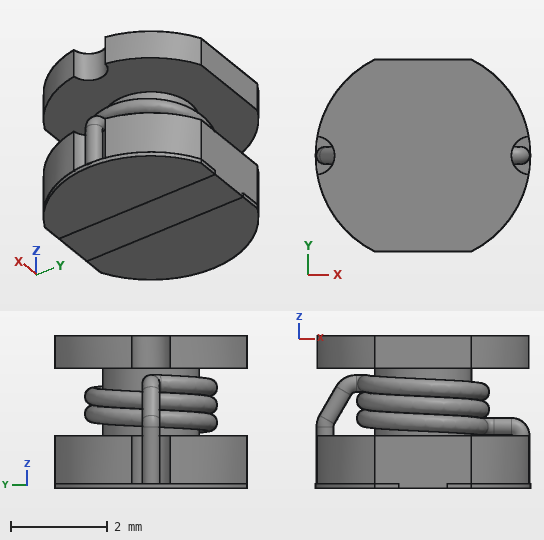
import cadquery as cq
import math

flange_radius = 2.24
width_across_flats = 4.0
total_height = 3.18
lower_flange_top = 1.1
upper_flange_bottom = 2.5
column_diameter = 2.02
notch_radius = 0.4

terminal_thickness = 0.1
terminal_gap = 1.0

wire_radius = 0.18
coil_radius = 1.2
coil_pitch = 0.365
coil_bottom = 1.29
coil_half_turns = 5

lead_x = 2.04
upper_turn_radius = 0.21
lower_turn_radius = 0.3
upper_bend_radius = 0.3
lower_bend_radius = 0.2
slope_from_vertical = math.radians(30)


def turn_angle(radius):
    """Angle from the X axis, in degrees, at which a lead turn touches the coil."""
    return math.degrees(math.asin(radius / (coil_radius + radius)))


def turn_x(radius):
    """Distance from the coil axis at which a lead turn meets the X axis."""
    return math.sqrt((coil_radius + radius) ** 2 - radius ** 2)


upper_angle = turn_angle(upper_turn_radius)
lower_angle = turn_angle(lower_turn_radius)
coil_sweep = 180 * coil_half_turns - upper_angle - lower_angle
coil_height = coil_pitch * coil_sweep / 360
coil_top = coil_bottom + coil_height


def flatted_disc(bottom, top):
    """Round disc with flats on its -Y and +Y sides."""
    height = top - bottom
    disc = cq.Workplane("XY").workplane(offset=bottom).circle(flange_radius).extrude(height)
    flats = (
        cq.Workplane("XY")
        .workplane(offset=bottom)
        .rect(2 * flange_radius, width_across_flats)
        .extrude(height)
    )
    return disc.intersect(flats)


def make_terminal(side):
    """Plate under one side of the core: -1 for the -X side, +1 for the +X side."""
    center_x = side * (terminal_gap / 2 + flange_radius)
    half = (
        cq.Workplane("XY")
        .center(center_x, 0)
        .rect(2 * flange_radius, width_across_flats)
        .extrude(terminal_thickness)
    )
    return flatted_disc(0, terminal_thickness).intersect(half)


def make_core():
    """Two notched flanges joined by a column, with a foot between the terminals."""
    column = (
        cq.Workplane("XY")
        .workplane(offset=lower_flange_top)
        .circle(column_diameter / 2)
        .extrude(upper_flange_bottom - lower_flange_top)
    )
    notches = (
        cq.Workplane("XY")
        .pushPoints([(-flange_radius, 0), (flange_radius, 0)])
        .circle(notch_radius)
        .extrude(total_height)
    )
    core = (
        flatted_disc(0, lower_flange_top)
        .union(column)
        .union(flatted_disc(upper_flange_bottom, total_height))
        .cut(notches)
    )
    for side in (-1, 1):
        core = core.cut(make_terminal(side))
    return core


def make_coil():
    """Left-handed helix, its round section held in the plane through the coil axis."""
    path = cq.Wire.makeHelix(coil_pitch, coil_height, coil_radius, lefthand=True)
    coil = cq.Workplane("XZ").center(coil_radius, 0).circle(wire_radius).sweep(
        cq.Workplane(obj=path), isFrenet=True
    )
    return coil.rotate((0, 0, 0), (0, 0, 1), -lower_angle).translate((0, 0, coil_bottom))


def make_turn(side, radius, angle, height):
    """Horizontal turn from the end of the coil to a lead on the X axis."""
    profile = cq.Workplane("YZ", origin=(side * turn_x(radius), 0, height)).circle(wire_radius)
    return profile.revolve(
        90 - angle,
        axisStart=(-radius, 0, 0),
        axisEnd=(-radius, side, 0),
    )


def sweep_lead(side, path):
    """Wire swept along a path that starts on top of the terminal."""
    profile = cq.Workplane("XY", origin=(side * lead_x, 0, terminal_thickness)).circle(wire_radius)
    return profile.sweep(path)


def make_upper_lead():
    """Lead that rises at -X, slopes inward and levels off at the top of the coil."""
    sine = math.sin(slope_from_vertical)
    cosine = math.cos(slope_from_vertical)
    end_x = -turn_x(upper_turn_radius)
    slope_start_x = -lead_x + upper_bend_radius * (1 - cosine)
    slope_end_x = end_x - upper_bend_radius * cosine
    slope_end_z = coil_top - upper_bend_radius * (1 - sine)
    slope_start_z = slope_end_z - (slope_end_x - slope_start_x) / math.tan(slope_from_vertical)
    path = (
        cq.Workplane("XZ")
        .moveTo(-lead_x, terminal_thickness)
        .lineTo(-lead_x, slope_start_z - upper_bend_radius * sine)
        .tangentArcPoint((slope_start_x, slope_start_z), relative=False)
        .lineTo(slope_end_x, slope_end_z)
        .tangentArcPoint((end_x, coil_top), relative=False)
    )
    return sweep_lead(-1, path)


def make_lower_lead():
    """Lead that rises at +X and bends level at the bottom of the coil."""
    path = (
        cq.Workplane("XZ")
        .moveTo(lead_x, terminal_thickness)
        .lineTo(lead_x, coil_bottom - lower_bend_radius)
        .tangentArcPoint((lead_x - lower_bend_radius, coil_bottom), relative=False)
        .lineTo(turn_x(lower_turn_radius), coil_bottom)
    )
    return sweep_lead(1, path)


def make_winding():
    """One continuous wire: upper lead, coil and lower lead."""
    return (
        make_coil()
        .union(make_turn(-1, upper_turn_radius, upper_angle, coil_top))
        .union(make_turn(1, lower_turn_radius, lower_angle, coil_bottom))
        .union(make_upper_lead())
        .union(make_lower_lead())
    )


core = make_core().solids()
winding = make_winding().solids()
terminals = [make_terminal(side).solids() for side in (-1, 1)]

result = cq.Compound.makeCompound(
    [core.val(), winding.val(), *[terminal.val() for terminal in terminals]]
)